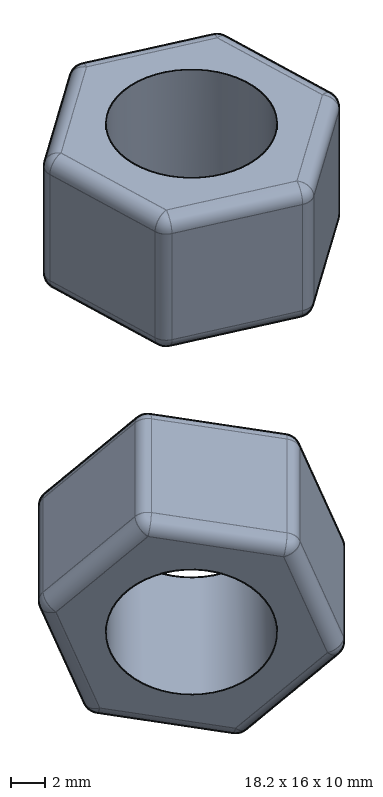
import cadquery as cq
import math

width_across_corners = 18.17
height = 10.0
bore_diameter = 10.0
edge_radius = 1.0

side_count = 6
corner_centre_radius = width_across_corners / 2 - edge_radius
flat_to_corner_ratio = math.cos(math.pi / side_count)
sharp_corner_radius = corner_centre_radius + edge_radius / flat_to_corner_ratio


def rounded_hexagon():
    """Hexagonal prism with corners on the X axis and all edges rounded."""
    prism = cq.Workplane("XY").polygon(side_count, 2 * sharp_corner_radius).extrude(height)
    return prism.edges().fillet(edge_radius)


def bore():
    """Plain round through hole along Z."""
    return cq.Workplane("XY").circle(bore_diameter / 2).extrude(height)


result = rounded_hexagon().cut(bore())